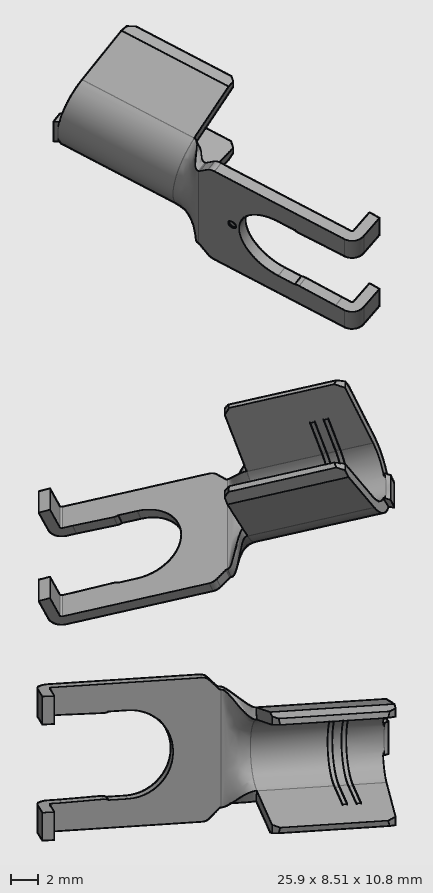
import cadquery as cq
import math


THICKNESS = 0.88

BARREL_START = 0.35
BARREL_END = 10.16
BARREL_LEAN = 5.2
BARREL_HEIGHT = 8.51
OUTER_RADIUS = 3.6
INNER_RADIUS = OUTER_RADIUS - THICKNESS
FLARE = 12.2
TAPER_START_Y = 7.4
TIP_THICKNESS = 0.46
TIP_CHAMFER_HEIGHT = 0.48
WIRE_END_CHAMFER = 0.66
NECK_END_CHAMFER = 0.5

TAB_HALF_WIDTH = 1.22
TAB_OVERLAP = 0.1

SERRATION_COUNT = 2
FIRST_SERRATION_X = 3.27
SERRATION_PITCH = 1.02
SERRATION_WIDTH = 0.35
SERRATION_DEPTH = 0.1
SERRATION_TOP_Y = 5.79

NECK_END = 12.32
NECK_END_HALF_WIDTH = 4.42
NECK_WAIST = 0.35
NECK_STEPS = 8

TOTAL_LENGTH = 25.88
TONGUE_HALF_WIDTH = 10.79 / 2
SHOULDER_CORNER_X = 13.36
SHOULDER_RADIUS = 0.8
SHOULDER_ROOT_RADIUS = 0.15
PICK_MARGIN = 0.01
SLOT_START = 15.81
SLOT_RADIUS = 3.31
SLOT_STEP_START = 20.55
STEP_BULGE = 0.25
SLOT_NECK_START = 20.9
SLOT_NECK_HALF_WIDTH = 3.22
SLOT_MOUTH_START = 24.0
SLOT_MOUTH_HALF_WIDTH = 3.29

TIP_LEAN = 2.5
TIP_HEIGHT = 2.98
BEND_INNER_RADIUS = 0.15
BEND_OUTER_RADIUS = BEND_INNER_RADIUS + THICKNESS

DIMPLE_X = 15.22
DIMPLE_RADIUS = 0.34
DIMPLE_DEPTH = 0.1


def barrel_point(radius, angle):
    """(Z, Y) of a point on a barrel arc, the angle measured from its lowest point."""
    a = math.radians(angle)
    return radius * math.sin(a), OUTER_RADIUS - radius * math.cos(a)


def mirrored(point):
    return -point[0], point[1]


def across(x):
    """Sketch plane across the terminal at x: local axes (Z, Y), normal -X."""
    return cq.Workplane(cq.Plane(origin=(x, 0, 0), xDir=(0, 0, 1), normal=(-1, 0, 0)))


def make_barrel():
    """U-shaped barrel, trimmed to its side outline."""
    wrap = 90 - FLARE
    slope = math.tan(math.radians(FLARE))
    outer_tangent = barrel_point(OUTER_RADIUS, wrap)
    inner_tangent = barrel_point(INNER_RADIUS, wrap)
    taper_start = (outer_tangent[0] + (TAPER_START_Y - outer_tangent[1]) * slope, TAPER_START_Y)
    tip_inner = (inner_tangent[0] + (BARREL_HEIGHT - inner_tangent[1]) * slope, BARREL_HEIGHT)
    tip_outer = (
        tip_inner[0] + TIP_THICKNESS * math.cos(math.radians(FLARE)),
        tip_inner[1] - TIP_THICKNESS * math.sin(math.radians(FLARE)),
    )
    section = (
        across(BARREL_END)
        .moveTo(*mirrored(outer_tangent))
        .threePointArc((0, 0), outer_tangent)
        .lineTo(*taper_start)
        .lineTo(*tip_outer)
        .lineTo(*tip_inner)
        .lineTo(*inner_tangent)
        .threePointArc((0, THICKNESS), mirrored(inner_tangent))
        .lineTo(*mirrored(tip_inner))
        .lineTo(*mirrored(tip_outer))
        .lineTo(*mirrored(taper_start))
        .close()
        .extrude(BARREL_END)
    )
    lean = math.tan(math.radians(BARREL_LEAN))
    rim_x = BARREL_START + (BARREL_HEIGHT - TIP_CHAMFER_HEIGHT) * lean
    chamfer_y = BARREL_HEIGHT - TIP_CHAMFER_HEIGHT
    side_outline = (
        cq.Workplane("XY")
        .moveTo(BARREL_START, 0)
        .lineTo(rim_x, chamfer_y)
        .lineTo(rim_x + WIRE_END_CHAMFER, BARREL_HEIGHT)
        .lineTo(BARREL_END - NECK_END_CHAMFER, BARREL_HEIGHT)
        .lineTo(BARREL_END, chamfer_y)
        .lineTo(BARREL_END, 0)
        .close()
        .extrude(TONGUE_HALF_WIDTH, both=True)
    )
    return section.intersect(side_outline)


def make_tab():
    """Tab that blends from a flat end face into the curved barrel wall."""
    outer_angle = math.degrees(math.asin(TAB_HALF_WIDTH / OUTER_RADIUS))
    inner_angle = math.degrees(math.asin(TAB_HALF_WIDTH / INNER_RADIUS))
    outer = barrel_point(OUTER_RADIUS, outer_angle)
    inner = barrel_point(INNER_RADIUS, inner_angle)
    flat_end = (
        across(0)
        .moveTo(-TAB_HALF_WIDTH, 0)
        .lineTo(TAB_HALF_WIDTH, 0)
        .lineTo(TAB_HALF_WIDTH, THICKNESS)
        .lineTo(-TAB_HALF_WIDTH, THICKNESS)
        .close()
    )
    curved_end = (
        across(BARREL_START)
        .moveTo(*mirrored(outer))
        .threePointArc((0, 0), outer)
        .lineTo(*inner)
        .threePointArc((0, THICKNESS), mirrored(inner))
        .close()
    )
    blend = cq.Solid.makeLoft([flat_end.val(), curved_end.val()], True)
    root = curved_end.extrude(-TAB_OVERLAP)
    return cq.Workplane(blend).union(root)


def cut_serrations(barrel):
    """Cut shallow grooves around the inside of the barrel, ending partway up its walls."""
    wrap = 90 - FLARE
    slope = math.tan(math.radians(FLARE))
    groove_radius = INNER_RADIUS + SERRATION_DEPTH
    tangent = barrel_point(groove_radius, wrap)
    top = (tangent[0] + (SERRATION_TOP_Y - tangent[1]) * slope, SERRATION_TOP_Y)
    for i in range(SERRATION_COUNT):
        groove = (
            across(FIRST_SERRATION_X + i * SERRATION_PITCH + SERRATION_WIDTH / 2)
            .moveTo(*mirrored(tangent))
            .threePointArc((0, THICKNESS - SERRATION_DEPTH), tangent)
            .lineTo(*top)
            .lineTo(*mirrored(top))
            .close()
            .extrude(SERRATION_WIDTH)
        )
        barrel = barrel.cut(groove)
    return barrel


def neck_section(x, wrap, half_length):
    """Closed strip section at x, bent so that its middle line wraps the given angle each side."""
    if wrap == 0:
        return across(x).center(0, THICKNESS / 2).rect(2 * half_length, THICKNESS).val()
    outer_radius = half_length / wrap + THICKNESS / 2
    inner_radius = outer_radius - THICKNESS
    outer = (outer_radius * math.sin(wrap), outer_radius * (1 - math.cos(wrap)))
    inner = (inner_radius * math.sin(wrap), outer_radius - inner_radius * math.cos(wrap))
    return (
        across(x)
        .moveTo(*mirrored(outer))
        .threePointArc((0, 0), outer)
        .lineTo(*inner)
        .threePointArc((0, THICKNESS), mirrored(inner))
        .close()
        .val()
    )


def make_neck():
    """Strip that unrolls smoothly from the barrel arc to the flat tongue."""
    full_wrap = math.radians(90 - FLARE)
    start_half_length = (OUTER_RADIUS - THICKNESS / 2) * full_wrap
    sections = []
    for i in range(NECK_STEPS + 1):
        t = i / NECK_STEPS
        ease = t * t * (3 - 2 * t)
        x = BARREL_END + t * (NECK_END - BARREL_END)
        waist = NECK_WAIST * math.sin(math.pi * t) ** 2
        half_length = start_half_length + ease * (NECK_END_HALF_WIDTH - start_half_length) - waist
        sections.append(neck_section(x, full_wrap * (1 - ease), half_length))
    return cq.Workplane(cq.Solid.makeLoft(sections, False))


def round_shoulder(body, x, radius):
    """Fillet the pair of upright edges of the tongue that stand at x."""
    edges = cq.selectors.BoxSelector(
        (x - PICK_MARGIN, -PICK_MARGIN, -TONGUE_HALF_WIDTH - PICK_MARGIN),
        (x + PICK_MARGIN, TIP_HEIGHT + PICK_MARGIN, TONGUE_HALF_WIDTH + PICK_MARGIN),
    )
    return body.edges("|Y").edges(edges).fillet(radius)


def make_tongue_outline():
    """Tongue outline seen along Y, as tall as the turned-up tips."""
    shoulder_start = SHOULDER_CORNER_X - (TONGUE_HALF_WIDTH - NECK_END_HALF_WIDTH)
    body = (
        cq.Workplane("XZ")
        .moveTo(NECK_END, -NECK_END_HALF_WIDTH)
        .lineTo(shoulder_start, -NECK_END_HALF_WIDTH)
        .lineTo(SHOULDER_CORNER_X, -TONGUE_HALF_WIDTH)
        .lineTo(TOTAL_LENGTH, -TONGUE_HALF_WIDTH)
        .lineTo(TOTAL_LENGTH, TONGUE_HALF_WIDTH)
        .lineTo(SHOULDER_CORNER_X, TONGUE_HALF_WIDTH)
        .lineTo(shoulder_start, NECK_END_HALF_WIDTH)
        .lineTo(NECK_END, NECK_END_HALF_WIDTH)
        .close()
        .extrude(-TIP_HEIGHT)
    )
    body = round_shoulder(body, SHOULDER_CORNER_X, SHOULDER_RADIUS)
    body = round_shoulder(body, shoulder_start, SHOULDER_ROOT_RADIUS)
    slot_centre = SLOT_START + SLOT_RADIUS
    step_middle = (SLOT_STEP_START + SLOT_NECK_START) / 2
    step_middle_z = SLOT_NECK_HALF_WIDTH + (SLOT_RADIUS - SLOT_NECK_HALF_WIDTH) * STEP_BULGE
    slot = (
        cq.Workplane("XZ")
        .moveTo(slot_centre, SLOT_RADIUS)
        .threePointArc((SLOT_START, 0), (slot_centre, -SLOT_RADIUS))
        .lineTo(SLOT_STEP_START, -SLOT_RADIUS)
        .threePointArc((step_middle, -step_middle_z), (SLOT_NECK_START, -SLOT_NECK_HALF_WIDTH))
        .lineTo(SLOT_MOUTH_START, -SLOT_MOUTH_HALF_WIDTH)
        .lineTo(TOTAL_LENGTH, -SLOT_MOUTH_HALF_WIDTH)
        .lineTo(TOTAL_LENGTH, SLOT_MOUTH_HALF_WIDTH)
        .lineTo(SLOT_MOUTH_START, SLOT_MOUTH_HALF_WIDTH)
        .lineTo(SLOT_NECK_START, SLOT_NECK_HALF_WIDTH)
        .threePointArc((step_middle, step_middle_z), (SLOT_STEP_START, SLOT_RADIUS))
        .close()
        .extrude(-TIP_HEIGHT)
    )
    return body.cut(slot)


def make_bent_strip():
    """Side profile of the tongue: flat strip, rounded bend and leaning tip."""
    lean = math.radians(TIP_LEAN)
    along = (math.sin(lean), math.cos(lean))
    outward = (math.cos(lean), -math.sin(lean))
    outer_top = (TOTAL_LENGTH, TIP_HEIGHT + THICKNESS * outward[1])
    inner_top = (TOTAL_LENGTH - THICKNESS * outward[0], TIP_HEIGHT)
    rise = (outer_top[1] - BEND_OUTER_RADIUS - BEND_OUTER_RADIUS * outward[1]) / along[1]
    bend_x = outer_top[0] - rise * along[0] - BEND_OUTER_RADIUS * outward[0]

    def on_bend(radius, angle):
        return bend_x + radius * math.cos(angle), BEND_OUTER_RADIUS + radius * math.sin(angle)

    bend_middle = -(math.pi / 2 + lean) / 2
    return (
        cq.Workplane("XY")
        .moveTo(NECK_END, 0)
        .lineTo(bend_x, 0)
        .threePointArc(on_bend(BEND_OUTER_RADIUS, bend_middle), on_bend(BEND_OUTER_RADIUS, -lean))
        .lineTo(*outer_top)
        .lineTo(*inner_top)
        .lineTo(*on_bend(BEND_INNER_RADIUS, -lean))
        .threePointArc(on_bend(BEND_INNER_RADIUS, bend_middle), (bend_x, THICKNESS))
        .lineTo(NECK_END, THICKNESS)
        .close()
        .extrude(TONGUE_HALF_WIDTH, both=True)
    )


def make_tongue():
    """Forked tongue with its turned-up tips and dimple."""
    tongue = make_bent_strip().intersect(make_tongue_outline())
    dimple = (
        cq.Workplane("XZ")
        .center(DIMPLE_X, 0)
        .circle(DIMPLE_RADIUS)
        .extrude(-DIMPLE_DEPTH)
    )
    return tongue.cut(dimple)


barrel = cut_serrations(make_barrel())
result = barrel.union(make_tab()).union(make_neck()).union(make_tongue())